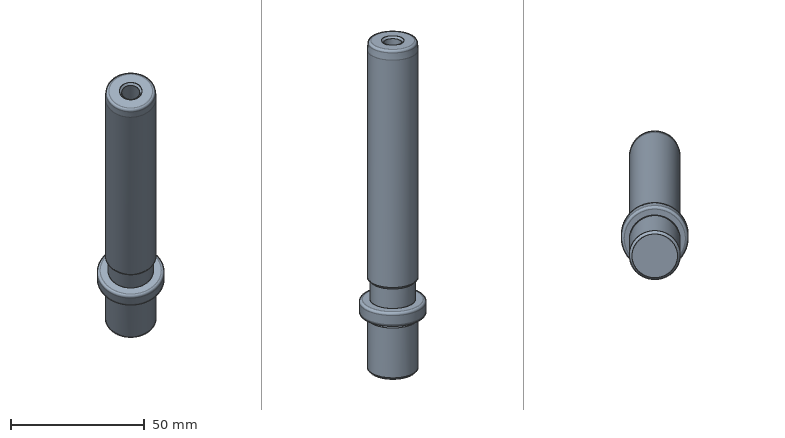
import cadquery as cq

total_length = 135.0

shaft_radius = 9.52
edge_chamfer_height = 1.1

neck_radius = 8.5
neck_top_z = 37.0

flange_radius = 12.49
flange_bottom_z = 23.1
flange_thickness = 6.0
flange_fillet = 1.1

relief_radius = 9.11
relief_width = 0.8
relief_taper_height = 0.8
relief_bottom_z = flange_bottom_z - relief_width

lead_tip_radius = 9.11
lead_length = 3.8
lead_fillet = 1.1

hole_radius = 3.4
hole_depth = 16.2
hole_chamfer = 0.8


def revolved_body():
    """Shank, relief, neck and tapered guide length turned about Z."""
    profile = [
        (0, 0),
        (neck_radius, 0),
        (shaft_radius, edge_chamfer_height),
        (shaft_radius, relief_bottom_z - relief_taper_height),
        (relief_radius, relief_bottom_z),
        (relief_radius, flange_bottom_z),
        (neck_radius, flange_bottom_z),
        (neck_radius, neck_top_z),
        (shaft_radius, neck_top_z + edge_chamfer_height),
        (shaft_radius, total_length - lead_length),
        (lead_tip_radius, total_length),
        (0, total_length),
    ]
    body = cq.Workplane("XZ").polyline(profile).close().revolve(360, (0, 0), (0, 1))
    return body.faces(">Z").edges().fillet(lead_fillet)


def flange():
    """Collar with both rims rounded."""
    disc = cq.Workplane("XY").workplane(offset=flange_bottom_z).circle(flange_radius)
    return disc.extrude(flange_thickness).edges("%CIRCLE").fillet(flange_fillet)


def end_hole():
    """Flat-bottomed hole with a 45-degree chamfered mouth, as a cutting solid."""
    profile = [
        (0, total_length - hole_depth),
        (hole_radius, total_length - hole_depth),
        (hole_radius, total_length - hole_chamfer),
        (hole_radius + hole_chamfer, total_length),
        (0, total_length),
    ]
    return cq.Workplane("XZ").polyline(profile).close().revolve(360, (0, 0), (0, 1))


result = revolved_body().union(flange()).cut(end_hole())